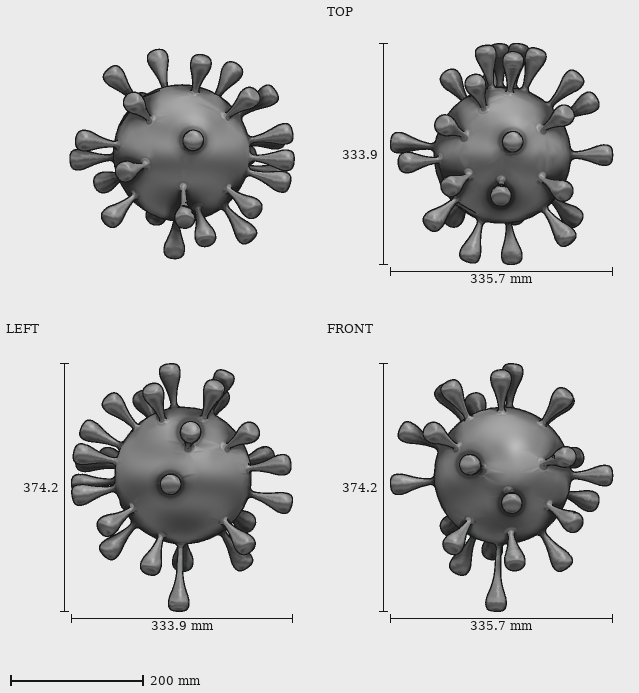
import cadquery as cq
import math

CORE_RADIUS = 103.2

ROOT_RADIUS = 12.5
ROOT_DEPTH = 5.5
FLARE_END = 110.7

SHOULDER_RADIUS = 14.0
SHOULDER_DISTANCE = 4.5
BULB_RADIUS = 15.7
BULB_DISTANCE = 12.5
TAPER_RADIUS = 11.2
TAPER_DISTANCE = 30.0
SHANK_RADIUS = 5.2
SHANK_DISTANCE = 54.2

TIP = 170.5
NECK_RADIUS = 4.5
NECK_END = 112.0

SHORT_TIP = 166.5
SHORT_NECK_RADIUS = 5.2

LONG_TIP = 205.5
LONG_NECK_RADIUS = 3.7
LONG_NECK_END = 120.5

SHORT_SPIKE = (0, 0)
LONG_SPIKE = (145.5, -86.5)
SPIKES = [
    (52.6, 80.8),
    (-92.1, 67.2),
    (-148.8, 55.2),
    (152.5, 51.9),
    (-30.8, 48.0),
    (32.9, 45.8),
    (111.0, 43.8),
    (83.5, 25.4),
    (-175.5, 24.5),
    (-136.3, 24.2),
    (99.4, 11.8),
    (-52.2, 10.2),
    (46.5, 9.8),
    (71.3, 7.8),
    (-108.1, 5.9),
    (173.2, -4.8),
    (81.1, -4.9),
    (91.8, -10.7),
    (31.2, -14.1),
    (-84.7, -15.2),
    (-41.5, -26.4),
    (124.3, -28.8),
    (-128.5, -41.1),
    (97.9, -45.0),
    (-78.2, -54.7),
    (0.3, -55.3),
    (142.7, -59.4),
]


def spike(tip, neck_radius, neck_end, shank=()):
    """A spike along +Z, revolved from a half profile of (radius, height) points.

    The extra shank points shape the bulb's outline just beyond the neck.
    """
    root_height = math.sqrt(CORE_RADIUS**2 - ROOT_RADIUS**2)
    root_bottom = root_height - ROOT_DEPTH
    bow = 1 - math.sqrt(0.5)
    flare_middle = (
        neck_radius + (ROOT_RADIUS - neck_radius) * bow,
        root_height + (FLARE_END - root_height) * bow,
    )
    bulb_points = [
        *shank,
        (TAPER_RADIUS, tip - TAPER_DISTANCE),
        (BULB_RADIUS, tip - BULB_DISTANCE),
        (SHOULDER_RADIUS, tip - SHOULDER_DISTANCE),
        (0, tip),
    ]
    flaring = (0.1, 1)
    inward = (-1, 0)
    profile = (
        cq.Workplane("XZ")
        .moveTo(0, root_bottom)
        .lineTo(ROOT_RADIUS, root_bottom)
        .lineTo(ROOT_RADIUS, root_height)
        .threePointArc(flare_middle, (neck_radius, FLARE_END))
        .lineTo(neck_radius, neck_end)
        .spline(bulb_points, tangents=[flaring, inward], includeCurrent=True)
        .close()
    )
    return profile.revolve(360, (0, 0, 0), (0, 1, 0)).val()


def aim(body, direction):
    """Turn a body that stands along +Z to the given azimuth and elevation."""
    azimuth, elevation = direction
    origin = (0, 0, 0)
    return body.rotate(origin, (0, 1, 0), 90 - elevation).rotate(origin, (0, 0, 1), azimuth)


regular_spike = spike(TIP, NECK_RADIUS, NECK_END)
short_spike = spike(SHORT_TIP, SHORT_NECK_RADIUS, NECK_END)
long_spike = spike(
    LONG_TIP, LONG_NECK_RADIUS, LONG_NECK_END, shank=[(SHANK_RADIUS, LONG_TIP - SHANK_DISTANCE)]
)

part = cq.Solid.makeSphere(CORE_RADIUS, angleDegrees1=-90, angleDegrees2=90)
part = part.fuse(aim(short_spike, SHORT_SPIKE))
part = part.fuse(aim(long_spike, LONG_SPIKE))
for direction in SPIKES:
    part = part.fuse(aim(regular_spike, direction))

result = cq.Workplane(part)